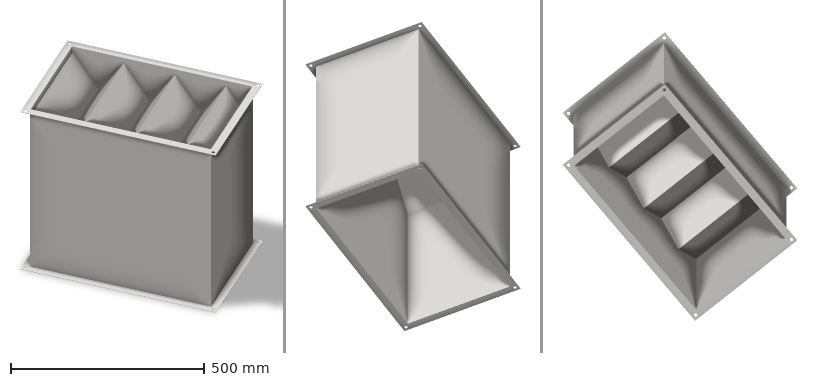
import cadquery as cq
import math

length = 542.0
width = 342.0
height = 500.0
sheet = 1.0
flange_overhang = 20.0
pleat_thickness = 0.5
side_clearance = 1.5
hole_diameter = 8.5
hole_inset = 11.0
fold_count = 7
peak_depth = 17.0
valley_depth = 118.5

duct_length = length - 2 * flange_overhang
duct_width = width - 2 * flange_overhang
inner_length = duct_length - 2 * sheet
inner_width = duct_width - 2 * sheet
pleat_length = inner_length - 2 * side_clearance
panel_run = pleat_length / fold_count
panel_drop = valley_depth - peak_depth
vertical_thickness = pleat_thickness * math.hypot(panel_run, panel_drop) / panel_run


def make_flange(bottom_z):
    """Rectangular plate with a hole in each corner."""
    return (
        cq.Workplane("XY", origin=(0, 0, bottom_z))
        .rect(length, width)
        .extrude(sheet)
        .faces(">Z")
        .workplane(origin=(0, 0, bottom_z))
        .rect(length - 2 * hole_inset, width - 2 * hole_inset, forConstruction=True)
        .vertices()
        .hole(hole_diameter)
    )


def make_pleated_sheet():
    """Zigzag sheet, flush with the outer -Y wall and one wall thickness short of the +Y wall."""
    upper_edge = []
    for fold in range(fold_count + 1):
        x = -pleat_length / 2 + fold * panel_run
        depth = peak_depth if fold % 2 == 0 else valley_depth - vertical_thickness
        upper_edge.append((x, height - depth))
    lower_edge = [(x, z - vertical_thickness) for x, z in reversed(upper_edge)]
    return (
        cq.Workplane("XZ", origin=(0, -duct_width / 2, 0))
        .polyline(upper_edge + lower_edge)
        .close()
        .extrude(-inner_width)
    )


def make_duct(pleats):
    """Open rectangular duct with end flanges and a zigzag slot in its -Y wall."""
    walls = cq.Workplane("XY").rect(duct_length, duct_width).extrude(height)
    bore = cq.Workplane("XY").rect(inner_length, inner_width).extrude(height)
    body = walls.union(make_flange(0)).union(make_flange(height - sheet))
    return body.cut(bore).cut(pleats)


pleated_sheet = make_pleated_sheet()
duct = make_duct(pleated_sheet)

result = cq.Compound.makeCompound([duct.val(), pleated_sheet.val()])